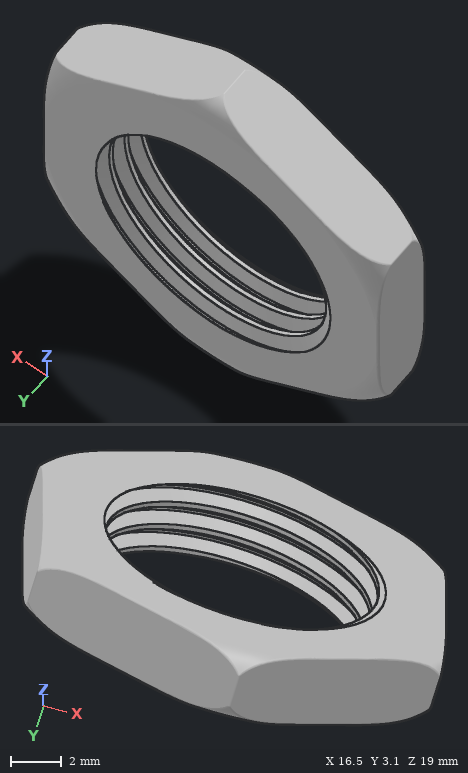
import cadquery as cq
import math

height = 19.02
thickness = 3.1
face_circle_diameter = 16.49
rim_rounding = 1.37
edge_blend = 0.11

bore_diameter = 11.03
thread_root_diameter = 12.15
pitch = 1.0
thread_angle = 60
root_flat = pitch / 8

corner_loss = edge_blend * (1 / math.cos(math.radians(30)) - 1)
across_corners = height + 2 * corner_loss
half_thickness = thickness / 2
bore_radius = bore_diameter / 2
root_radius = thread_root_diameter / 2


def hexagon_prism():
    prism = cq.Workplane("XZ").polygon(6, across_corners).extrude(half_thickness, both=True)
    return prism.rotate((0, 0, 0), (0, 1, 0), 30)


def rounded_disc():
    """Disc just wider than the corners, whose rounded rims start at the face circles."""
    disc_radius = face_circle_diameter / 2 + rim_rounding
    disc = cq.Workplane("XZ").circle(disc_radius).extrude(half_thickness, both=True)
    return disc.faces("<Y or >Y").edges().fillet(rim_rounding)


def bore():
    return cq.Workplane("XZ").circle(bore_radius).extrude(thickness, both=True)


def groove_turn():
    """One right-hand turn of the trapezoid thread groove along Z, starting on the X axis."""
    bore_overlap = 0.08
    inner_radius = bore_radius - bore_overlap
    flank_run = (root_radius - inner_radius) * math.tan(math.radians(thread_angle / 2))
    half_root = root_flat / 2
    half_mouth = half_root + flank_run
    helix = cq.Wire.makeHelix(pitch, pitch, bore_radius)
    return (
        cq.Workplane("XZ")
        .polyline([
            (inner_radius, -half_mouth),
            (root_radius, -half_root),
            (root_radius, half_root),
            (inner_radius, half_mouth),
        ])
        .close()
        .sweep(cq.Workplane(helix), isFrenet=True)
    )


def cut_thread(body):
    """Cut the groove turn by turn, deepest at the bottom of the front (-Y) face."""
    turn = groove_turn().rotate((0, 0, 0), (0, 0, 1), -90).rotate((0, 0, 0), (1, 0, 0), 90)
    turns_through = math.ceil(thickness / pitch)
    for index in range(turns_through + 1):
        body = body.cut(turn.translate((0, index * pitch - half_thickness, 0)))
    return body


blank = hexagon_prism().intersect(rounded_disc()).edges().fillet(edge_blend)
result = cut_thread(blank.cut(bore()))